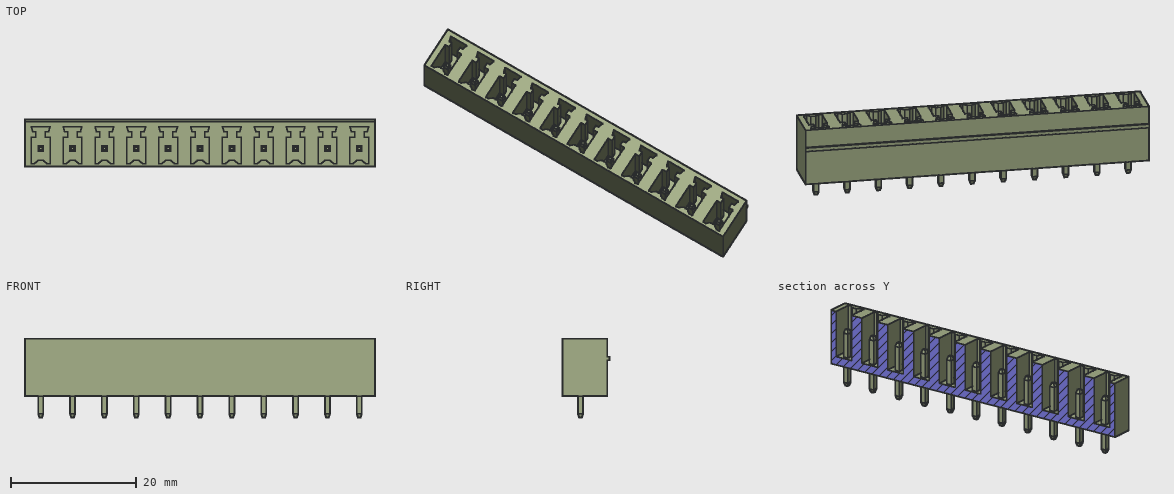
import cadquery as cq

POSITIONS = 11
PITCH = 5.08

BODY_LENGTH = POSITIONS * PITCH
BODY_DEPTH = 7.2
BODY_HEIGHT = 9.2
BODY_FRONT = -2.9
BODY_BACK = BODY_FRONT + BODY_DEPTH
FLOOR_THICKNESS = 1.5

RIB_PROJECTION = 0.35
RIB_HEIGHT = 0.6
RIB_BELOW_TOP = 3.2
RIB_CENTER_Z = BODY_HEIGHT - RIB_BELOW_TOP

FRONT_WALL = 0.5
POCKET_WIDTH = 3.0
CHAMBER_DEPTH = 4.2
NECK_WIDTH = 1.5
NECK_DEPTH = 0.85
DOVETAIL_NARROW_WIDTH = 2.5
DOVETAIL_DEPTH = 0.85
POCKET_FRONT = BODY_FRONT + FRONT_WALL
CHAMBER_BACK = POCKET_FRONT + CHAMBER_DEPTH
NECK_BACK = CHAMBER_BACK + NECK_DEPTH
POCKET_BACK = NECK_BACK + DOVETAIL_DEPTH

KEY_BASE_WIDTH = 2.0
KEY_TIP_WIDTH = 0.8
KEY_PROJECTION = 0.5

PIN_WIDTH = 0.85
PIN_BELOW_BODY = 3.4
PIN_BELOW_TOP = 3.0
PIN_TOP_Z = BODY_HEIGHT - PIN_BELOW_TOP
TAPER_LENGTH = 0.6
PIN_TIP_WIDTH = 0.45


def make_body():
    """Rectangular housing with the rib on its back wall."""
    block = cq.Workplane("XY").box(BODY_LENGTH, BODY_DEPTH, BODY_HEIGHT, centered=(True, False, False))
    block = block.translate((0, BODY_FRONT, 0))
    rib = cq.Workplane("XY").box(BODY_LENGTH, RIB_PROJECTION, RIB_HEIGHT, centered=(True, False, True))
    return block.union(rib.translate((0, BODY_BACK, RIB_CENTER_Z)))


def make_pocket():
    """Volume removed for one plug position, open at the top of the housing."""
    return (
        cq.Workplane("XY", origin=(0, 0, FLOOR_THICKNESS))
        .moveTo(KEY_BASE_WIDTH / 2, POCKET_FRONT)
        .lineTo(POCKET_WIDTH / 2, POCKET_FRONT)
        .lineTo(POCKET_WIDTH / 2, CHAMBER_BACK)
        .lineTo(NECK_WIDTH / 2, CHAMBER_BACK)
        .lineTo(NECK_WIDTH / 2, NECK_BACK)
        .lineTo(DOVETAIL_NARROW_WIDTH / 2, NECK_BACK)
        .lineTo(POCKET_WIDTH / 2, POCKET_BACK)
        .lineTo(-POCKET_WIDTH / 2, POCKET_BACK)
        .lineTo(-DOVETAIL_NARROW_WIDTH / 2, NECK_BACK)
        .lineTo(-NECK_WIDTH / 2, NECK_BACK)
        .lineTo(-NECK_WIDTH / 2, CHAMBER_BACK)
        .lineTo(-POCKET_WIDTH / 2, CHAMBER_BACK)
        .lineTo(-POCKET_WIDTH / 2, POCKET_FRONT)
        .lineTo(-KEY_BASE_WIDTH / 2, POCKET_FRONT)
        .lineTo(-KEY_TIP_WIDTH / 2, POCKET_FRONT + KEY_PROJECTION)
        .lineTo(KEY_TIP_WIDTH / 2, POCKET_FRONT + KEY_PROJECTION)
        .close()
        .extrude(BODY_HEIGHT - FLOOR_THICKNESS)
    )


def make_pin():
    """Square pin running through the floor, tapered at both ends."""
    shank_bottom = TAPER_LENGTH - PIN_BELOW_BODY
    shank_top = PIN_TOP_Z - TAPER_LENGTH
    pin_body = (
        cq.Workplane("XY", origin=(0, 0, shank_bottom))
        .rect(PIN_WIDTH, PIN_WIDTH)
        .extrude(shank_top - shank_bottom)
    )
    for shank_end, direction in ((shank_top, 1), (shank_bottom, -1)):
        taper = (
            cq.Workplane("XY", origin=(0, 0, shank_end))
            .rect(PIN_WIDTH, PIN_WIDTH)
            .workplane(offset=direction * TAPER_LENGTH)
            .rect(PIN_TIP_WIDTH, PIN_TIP_WIDTH)
            .loft()
        )
        pin_body = pin_body.union(taper)
    return pin_body


pocket = make_pocket()
pin = make_pin()
result = make_body()
for position in range(POSITIONS):
    x = (position - (POSITIONS - 1) / 2) * PITCH
    result = result.cut(pocket.translate((x, 0, 0)))
    result = result.union(pin.translate((x, 0, 0)))